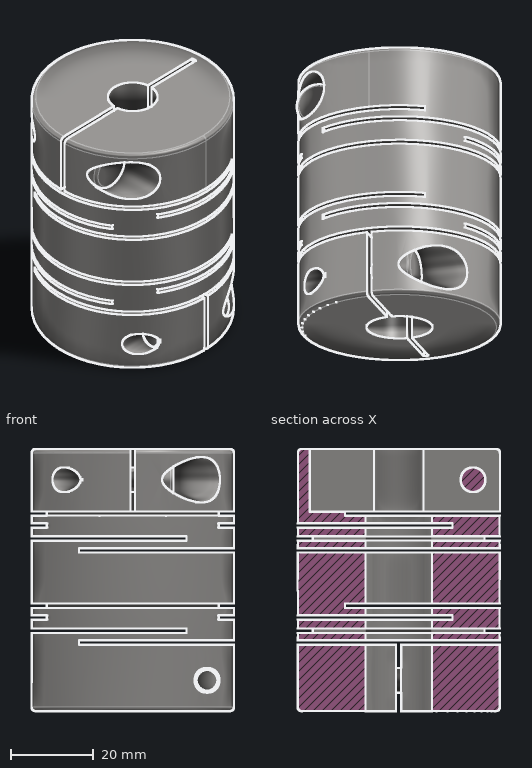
import cadquery as cq

length = 63.5
outer_diameter = 49.0
outer_radius = outer_diameter / 2
rim_radius = 1.0

upper_bore_diameter = 12.0
lower_bore_diameter = 16.0

cut_height = 1.0
cut_reach = 12.95
cut_pitch = 2.85
pair_offset = 6.05
group_offset = 22.3
first_cut_z = 47.8
last_cut_z = first_cut_z - group_offset - pair_offset - cut_pitch
upper_hub_bottom = first_cut_z + cut_height / 2
lower_hub_top = last_cut_z - cut_height / 2

slit_width = 1.2
slit_end = 21.5

screw_offset = 18.0
screw_end_distance = 7.5
screw_diameter = 6.05
tip_chamfer = 0.5
tip_position = -12.7
head_diameter = 10.4
head_fillet = 0.7
head_end = 9.85
head_height = 6.0
counterbore_diameter = 11.0
head_seat = head_end - head_height


def body():
    cylinder = cq.Workplane("XY").circle(outer_radius).extrude(length)
    return cylinder.faces("<Z or >Z").edges().fillet(rim_radius)


def bores():
    upper = cq.Workplane("XY").circle(upper_bore_diameter / 2).extrude(length)
    lower = cq.Workplane("XY").circle(lower_bore_diameter / 2).extrude(upper_hub_bottom)
    return upper.union(lower)


def saw_cut(z, direction):
    """Flat cut entering from the side at angle direction, in degrees from -X."""
    blade = cq.Workplane("XY").box(
        outer_radius + cut_reach, outer_diameter, cut_height, centered=(False, True, True)
    )
    return blade.translate((-outer_radius, 0, z)).rotate((0, 0, 0), (0, 0, 1), direction)


def cut_group(top_z):
    """Two opposed cuts along Y, then two opposed cuts along X."""
    x_pair_z = top_z - pair_offset
    from_front = saw_cut(top_z, 90)
    from_back = saw_cut(top_z - cut_pitch, -90)
    from_left = saw_cut(x_pair_z, 0)
    from_right = saw_cut(x_pair_z - cut_pitch, 180)
    return [from_front, from_back, from_left, from_right]


def x_cylinder(diameter, x_start, x_end):
    """Cylinder along X on the upper screw axis."""
    start = (x_start, -screw_offset, length - screw_end_distance)
    return cq.Workplane("YZ", origin=start).circle(diameter / 2).extrude(x_end - x_start)


def to_lower_hub(shape):
    """Flip an upper-hub shape to the lower end and turn it a quarter turn."""
    flipped = shape.mirror("XY", (0, 0, length / 2))
    return flipped.rotate((0, 0, 0), (0, 0, 1), 90)


def slit(depth):
    """Clamp slit cut down from the top face, open on the -Y side."""
    blade = cq.Workplane("XY").box(
        slit_width, outer_radius + slit_end, depth, centered=(True, False, False)
    )
    return blade.translate((0, -outer_radius, length - depth))


def screw_holes():
    clearance = x_cylinder(screw_diameter, -outer_radius, head_seat)
    counterbore = x_cylinder(counterbore_diameter, head_seat, outer_radius)
    return clearance.union(counterbore)


def screw():
    shank = x_cylinder(screw_diameter, tip_position, head_seat)
    shank = shank.faces("<X").chamfer(tip_chamfer)
    head = x_cylinder(head_diameter, head_seat, head_end)
    head = head.faces(">X").edges().fillet(head_fillet)
    return shank.union(head)


result = body().cut(bores())

for group_top in (first_cut_z, first_cut_z - group_offset):
    for cut in cut_group(group_top):
        result = result.cut(cut)

result = result.cut(slit(length - upper_hub_bottom)).cut(screw_holes())
result = result.cut(to_lower_hub(slit(lower_hub_top))).cut(to_lower_hub(screw_holes()))
result = result.union(screw()).union(to_lower_hub(screw()))